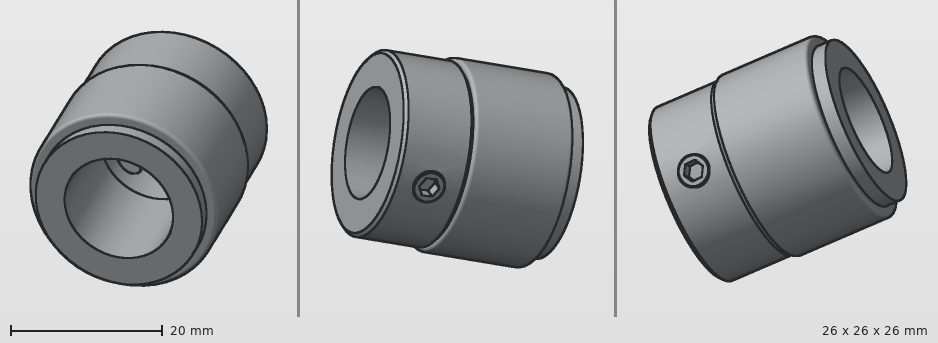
import cadquery as cq
import math

bore_diameter = 15.0
sleeve_diameter = 23.0
sleeve_overhang = 2.0
ring_diameter = 26.0
ring_length = 14.0
collar_diameter = 25.0
collar_length = 10.0
edge_break = 0.5

screw_diameter = 4.45
screw_chamfer = 0.15
screw_protrusion = 0.13
screw_angle = 225.0
hex_across_flats = 2.5
hex_depth = 2.0
hex_turn = 3.0

ring_start = sleeve_overhang
collar_start = ring_start + ring_length
screw_place = collar_start + collar_length / 2
bore_radius = bore_diameter / 2
screw_end = collar_diameter / 2 + screw_protrusion


def tube(outer_diameter, inner_diameter, start, length):
    """Plain tube along +Y that begins at Y = start."""
    plane = cq.Workplane("XZ", origin=(0, start, 0))
    return plane.circle(outer_diameter / 2).circle(inner_diameter / 2).extrude(-length)


def screw_plane(distance):
    """Plane across the screw axis, facing outward, at a distance from the ring axis."""
    angle = math.radians(screw_angle)
    outward = (math.cos(angle), 0, math.sin(angle))
    origin = (distance * outward[0], screw_place, distance * outward[2])
    return cq.Workplane(cq.Plane(origin=origin, xDir=(0, 1, 0), normal=outward))


def make_sleeve():
    """Inner sleeve: stands out in front of the ring and ends against the collar."""
    return tube(sleeve_diameter, bore_diameter, 0, collar_start)


def make_ring():
    """Outer ring around the sleeve, with both outer edges rounded."""
    ring = tube(ring_diameter, sleeve_diameter, ring_start, ring_length)
    outer_edges = cq.selectors.RadiusNthSelector(-1)
    return ring.edges("%CIRCLE").edges(outer_edges).fillet(edge_break)


def make_collar():
    """Clamping collar with both outer edges chamfered and a radial screw hole."""
    collar = tube(collar_diameter, bore_diameter, collar_start, collar_length)
    outer_edges = cq.selectors.RadiusNthSelector(-1)
    collar = collar.edges("%CIRCLE").edges(outer_edges).chamfer(edge_break)
    screw_hole = screw_plane(0).circle(screw_diameter / 2).extrude(ring_diameter)
    return collar.cut(screw_hole)


def make_set_screw():
    """Set screw from the bore to just beyond the collar surface, with a hexagon socket in its outer end."""
    screw = screw_plane(bore_radius).circle(screw_diameter / 2).extrude(screw_end - bore_radius)
    screw = screw.faces("<Z").edges().chamfer(screw_chamfer)
    hex_across_corners = hex_across_flats / math.cos(math.pi / 6)
    socket_plane = screw_plane(screw_end).transformed(rotate=(0, 0, hex_turn))
    socket = socket_plane.polygon(6, hex_across_corners).extrude(-hex_depth)
    return screw.cut(socket)


sleeve = make_sleeve()
ring = make_ring()
collar = make_collar()
set_screw = make_set_screw()

result = cq.Compound.makeCompound([sleeve.val(), ring.val(), collar.val(), set_screw.val()])